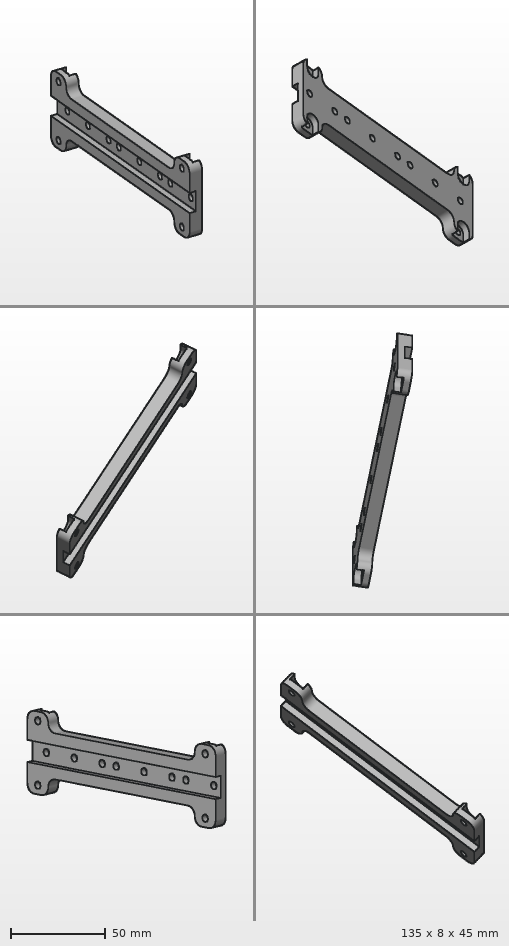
import cadquery as cq
import math

LENGTH = 135.0
HEIGHT = 45.0
THICKNESS = 8.0

TAB_WIDTH = 15.0
BAR_HEIGHT = 25.0
CORNER_RADIUS = 5.0

GROOVE_HEIGHT = 12.0
GROOVE_DEPTH = THICKNESS / 2

HOLE_DIAMETER = 4.0
TAB_HOLE_INSET_X = TAB_WIDTH / 2
TAB_HOLE_INSET_Z = 5.0

RECESS_WIDTH = 9.0
RECESS_DEPTH = THICKNESS / 2

GROOVE_HOLE_PITCH = 20.0
GROOVE_HOLE_GROUPS = [(-57.5, 3), (-7.5, 3), (42.5, 2)]

FRONT_Y = -THICKNESS / 2
BACK_Y = THICKNESS / 2


def make_plate():
    """H-shaped plate with every corner of its outline rounded, built from one mirrored quarter."""
    end_x = LENGTH / 2
    tab_x = end_x - TAB_WIDTH
    top_z = HEIGHT / 2
    bar_z = BAR_HEIGHT / 2
    radius = CORNER_RADIUS
    quarter = (
        cq.Workplane("XZ", origin=(0, BACK_Y, 0))
        .lineTo(0, bar_z)
        .lineTo(tab_x - radius, bar_z)
        .tangentArcPoint((tab_x, bar_z + radius), relative=False)
        .tangentArcPoint((tab_x + radius, top_z), relative=False)
        .lineTo(end_x - radius, top_z)
        .tangentArcPoint((end_x, top_z - radius), relative=False)
        .lineTo(end_x, 0)
        .close()
        .extrude(THICKNESS)
    )
    upper_half = quarter.union(quarter.mirror("YZ"))
    return upper_half.union(upper_half.mirror("XY")).clean()


def cylinders_from_back(points, diameter, depth):
    """Cylinders sunk from the back face toward the front, at (X, Z) points."""
    back_plane = cq.Workplane("XZ", origin=(0, BACK_Y, 0))
    return back_plane.pushPoints(points).circle(diameter / 2).extrude(depth)


def cut_groove(plate):
    groove = cq.Workplane("XY").box(LENGTH, GROOVE_DEPTH, GROOVE_HEIGHT)
    return plate.cut(groove.translate((0, FRONT_Y + GROOVE_DEPTH / 2, 0)))


def tab_hole_points():
    hole_x = LENGTH / 2 - TAB_HOLE_INSET_X
    hole_z = HEIGHT / 2 - TAB_HOLE_INSET_Z
    return [(side_x * hole_x, side_z * hole_z) for side_x in (-1, 1) for side_z in (-1, 1)]


def cut_tab_holes(plate):
    return plate.cut(cylinders_from_back(tab_hole_points(), HOLE_DIAMETER, THICKNESS))


def cut_tab_recesses(plate):
    plate = plate.cut(cylinders_from_back(tab_hole_points(), RECESS_WIDTH, RECESS_DEPTH))
    recess_y = BACK_Y - RECESS_DEPTH / 2
    for hole_x, hole_z in tab_hole_points():
        outward = math.copysign(1, hole_z)
        mouth = cq.Workplane("XY").box(RECESS_WIDTH, RECESS_DEPTH, TAB_HOLE_INSET_Z)
        mouth_z = hole_z + outward * TAB_HOLE_INSET_Z / 2
        plate = plate.cut(mouth.translate((hole_x, recess_y, mouth_z)))
    return plate


def cut_groove_holes(plate):
    points = [
        (first_x + index * GROOVE_HOLE_PITCH, 0)
        for first_x, count in GROOVE_HOLE_GROUPS
        for index in range(count)
    ]
    return plate.cut(cylinders_from_back(points, HOLE_DIAMETER, THICKNESS))


result = make_plate()
result = cut_groove(result)
result = cut_tab_holes(result)
result = cut_tab_recesses(result)
result = cut_groove_holes(result)